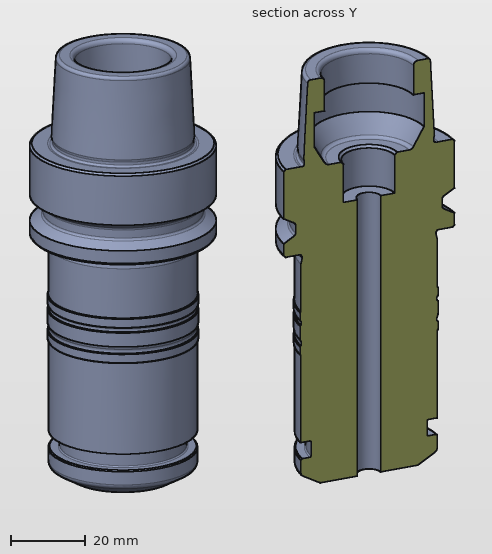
import cadquery as cq
import math

LENGTH = 119.0
THROUGH_HOLE_DIAMETER = 6.8

TAPER_LENGTH = 25.0
TAPER_RIM_DIAMETER = 35.9
TAPER_BASE_DIAMETER = 38.3
RELIEF_DIAMETER = 38.0
RELIEF_LENGTH = 2.0
RELIEF_CONE_LENGTH = 0.7
RIM_OUTER_FILLET = 1.0

DISH_DIAMETER = 40.5
DISH_DEPTH = 0.1
DISH_FILLET = 0.6

FLANGE_DIAMETER = 50.0
FLANGE_WIDTH = 26.0
FLANGE_CHAMFER = 0.6
GROOVE_DIAMETER = 43.0
GROOVE_TOP_OFFSET = 14.5
GROOVE_WIDTH = 7.3
GROOVE_FILLET = 0.8
CONE_ANGLE = 30.0

BODY_DIAMETER = 40.0
NECK_DIAMETER = 39.3
NECK_UPPER_CONE = 0.7
NECK_STRAIGHT = 0.4
NECK_LOWER_CONE = 1.5
COLLAR_DIAMETER = 40.5
COLLAR_CHAMFER = 0.2
GROOVE_SAG = 0.1
COLLAR_1_TOP = 51.2
COLLAR_1_BOTTOM = 48.8
COLLAR_2_TOP = 47.2
COLLAR_2_BOTTOM = 43.3
COLLAR_2_LOWER_CONE = 0.7
COLLAR_3_TOP = 41.2
COLLAR_3_BOTTOM = 38.8

BODY_BOTTOM = 12.9
SLOT_DIAMETER = 34.0
SLOT_FILLET = 0.4
HEAD_TOP = 8.2
HEAD_CHAMFER = 0.4
NOSE_DIAMETER = 28.6
NOSE_FILLET = 1.5

BORE_DIAMETER = 26.0
BORE_DEPTH = 10.0
BORE_LIP_FILLET = 1.3
CHAMBER_DIAMETER = 32.0
CHAMBER_DEPTH = 19.8
CHAMBER_CONE_ANGLE = 60.0
FLOOR_DIAMETER = 25.0
CAVITY_FILLET = 1.4
COUNTERBORE_DIAMETER = 14.9
COUNTERBORE_DEPTH = 11.9
COUNTERBORE_CHAMFER = 0.7

SMALLEST = cq.selectors.RadiusNthSelector(0)
LARGEST = cq.selectors.RadiusNthSelector(-1)

flange_top = LENGTH - TAPER_LENGTH
flange_bottom = flange_top - FLANGE_WIDTH
body_radius = BODY_DIAMETER / 2
cone_slope = math.tan(math.radians(CONE_ANGLE))


def revolve(profile):
    """Turn a closed (radius, height) outline about the Z axis."""
    return profile.close().revolve(360, (0, 0, 0), (0, 1, 0))


def revolve_points(points):
    return revolve(cq.Workplane("XZ").polyline(points))


def circles_at(height):
    """Select the circular edges whose centres lie at the given height."""
    reach = 0.01
    return cq.selectors.BoxSelector(
        (-reach, -reach, height - reach), (reach, reach, height + reach)
    )


def make_shank():
    relief_top = flange_top + RELIEF_LENGTH
    relief_radius = RELIEF_DIAMETER / 2
    dish_floor = flange_top - DISH_DEPTH
    shank = revolve_points([
        (0, LENGTH),
        (TAPER_RIM_DIAMETER / 2, LENGTH),
        (TAPER_BASE_DIAMETER / 2, relief_top),
        (relief_radius, relief_top - RELIEF_CONE_LENGTH),
        (relief_radius, dish_floor),
        (DISH_DIAMETER / 2, flange_top),
        (DISH_DIAMETER / 2, flange_bottom),
        (0, flange_bottom),
    ])
    shank = shank.edges(circles_at(LENGTH)).fillet(RIM_OUTER_FILLET)
    return shank.edges(circles_at(dish_floor)).fillet(DISH_FILLET)


def make_flange():
    """Flange ring around the shank, with a V groove for the gripper."""
    inner_radius = DISH_DIAMETER / 2
    outer_radius = FLANGE_DIAMETER / 2
    groove_radius = GROOVE_DIAMETER / 2
    groove_top = flange_top - GROOVE_TOP_OFFSET
    groove_bottom = groove_top - GROOVE_WIDTH
    wall_drop = (outer_radius - groove_radius) * cone_slope
    flange = revolve_points([
        (inner_radius, flange_top),
        (outer_radius - FLANGE_CHAMFER, flange_top),
        (outer_radius, flange_top - FLANGE_CHAMFER),
        (outer_radius, groove_top),
        (groove_radius, groove_top - wall_drop),
        (groove_radius, groove_bottom + wall_drop),
        (outer_radius, groove_bottom),
        (outer_radius, flange_bottom + FLANGE_CHAMFER),
        (outer_radius - FLANGE_CHAMFER, flange_bottom),
        (inner_radius, flange_bottom),
    ])
    for height in (groove_top - wall_drop, groove_bottom + wall_drop):
        flange = flange.edges(circles_at(height)).fillet(GROOVE_FILLET)
    return flange


def make_body():
    neck_radius = NECK_DIAMETER / 2
    neck_top = flange_bottom - NECK_UPPER_CONE
    neck_bottom = neck_top - NECK_STRAIGHT
    collar_radius = COLLAR_DIAMETER / 2
    groove_middle_radius = body_radius - GROOVE_SAG
    groove_1_top = COLLAR_1_BOTTOM - COLLAR_CHAMFER
    groove_1_bottom = COLLAR_2_TOP + COLLAR_CHAMFER
    groove_2_top = COLLAR_2_BOTTOM - COLLAR_2_LOWER_CONE
    groove_2_bottom = COLLAR_3_TOP + COLLAR_CHAMFER
    profile = (
        cq.Workplane("XZ")
        .moveTo(0, flange_bottom)
        .lineTo(body_radius, flange_bottom)
        .lineTo(neck_radius, neck_top)
        .lineTo(neck_radius, neck_bottom)
        .lineTo(body_radius, neck_bottom - NECK_LOWER_CONE)
        .lineTo(body_radius, COLLAR_1_TOP + COLLAR_CHAMFER)
        .lineTo(collar_radius, COLLAR_1_TOP)
        .lineTo(collar_radius, COLLAR_1_BOTTOM)
        .lineTo(body_radius, groove_1_top)
        .threePointArc(
            (groove_middle_radius, (groove_1_top + groove_1_bottom) / 2),
            (body_radius, groove_1_bottom),
        )
        .lineTo(collar_radius, COLLAR_2_TOP)
        .lineTo(collar_radius, COLLAR_2_BOTTOM)
        .lineTo(body_radius, groove_2_top)
        .threePointArc(
            (groove_middle_radius, (groove_2_top + groove_2_bottom) / 2),
            (body_radius, groove_2_bottom),
        )
        .lineTo(collar_radius, COLLAR_3_TOP)
        .lineTo(collar_radius, COLLAR_3_BOTTOM)
        .lineTo(body_radius, COLLAR_3_BOTTOM - COLLAR_CHAMFER)
        .lineTo(body_radius, BODY_BOTTOM)
        .lineTo(0, BODY_BOTTOM)
    )
    return revolve(profile)


def make_head():
    """Slot below the body and the head with its conical nose."""
    slot_radius = SLOT_DIAMETER / 2
    nose_radius = NOSE_DIAMETER / 2
    nose_top = (body_radius - nose_radius) * cone_slope
    head = revolve_points([
        (0, BODY_BOTTOM),
        (slot_radius, BODY_BOTTOM),
        (slot_radius, HEAD_TOP),
        (body_radius - HEAD_CHAMFER, HEAD_TOP),
        (body_radius, HEAD_TOP - HEAD_CHAMFER),
        (body_radius, nose_top),
        (nose_radius, 0),
        (0, 0),
    ])
    return head.edges(circles_at(nose_top)).fillet(NOSE_FILLET)


def make_cavity():
    """Bore, wider chamber and counterbore opening at the rim, and the through hole."""
    bore_radius = BORE_DIAMETER / 2
    chamber_radius = CHAMBER_DIAMETER / 2
    floor_radius = FLOOR_DIAMETER / 2
    counterbore_radius = COUNTERBORE_DIAMETER / 2
    hole_radius = THROUGH_HOLE_DIAMETER / 2
    chamber_top = LENGTH - BORE_DEPTH
    chamber_bottom = LENGTH - CHAMBER_DEPTH
    cone_depth = (chamber_radius - floor_radius) * math.tan(math.radians(CHAMBER_CONE_ANGLE))
    floor = chamber_bottom - cone_depth
    counterbore_floor = floor - COUNTERBORE_DEPTH
    cavity = revolve_points([
        (0, LENGTH),
        (bore_radius, LENGTH),
        (bore_radius, chamber_top),
        (chamber_radius, chamber_top),
        (chamber_radius, chamber_bottom),
        (floor_radius, floor),
        (counterbore_radius + COUNTERBORE_CHAMFER, floor),
        (counterbore_radius, floor - COUNTERBORE_CHAMFER),
        (counterbore_radius, counterbore_floor),
        (hole_radius, counterbore_floor),
        (hole_radius, 0),
        (0, 0),
    ])
    return cavity.edges(circles_at(floor)).edges(LARGEST).fillet(CAVITY_FILLET)


def round_slot_corners(part):
    for height in (BODY_BOTTOM, HEAD_TOP):
        part = part.edges(circles_at(height)).edges(SMALLEST).fillet(SLOT_FILLET)
    return part


result = make_shank().union(make_flange()).union(make_body()).union(make_head())
result = round_slot_corners(result)
result = result.cut(make_cavity())
result = result.edges(circles_at(LENGTH)).edges(SMALLEST).fillet(BORE_LIP_FILLET)